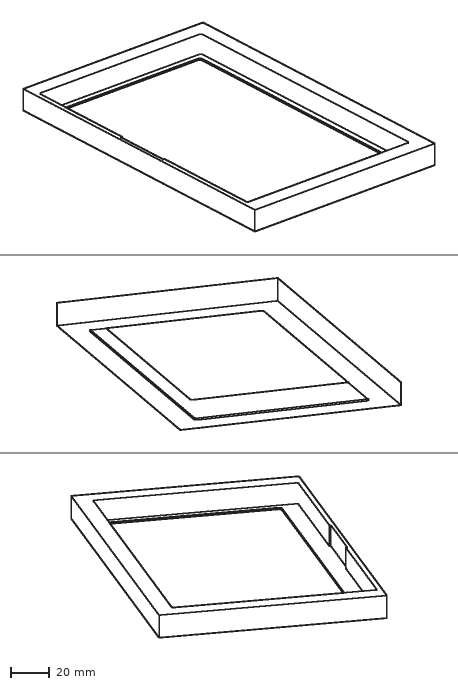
import cadquery as cq

LENGTH = 189.45
WIDTH = 123.63
HEIGHT = 12.7

SIDE_BORDER = 9.7
BACK_BORDER = 9.5
FRONT_BORDER = 2.95
FLOOR_THICKNESS = 1.0
RECESS_RADIUS = 1.0

SIDE_LEDGE = 3.45
BACK_LEDGE = 3.5
FRONT_LEDGE = 9.95
WINDOW_RADIUS = 1.75

RELIEF_LENGTH = 34.8
RELIEF_DEPTH = 0.8

RECESS_LENGTH = LENGTH - 2 * SIDE_BORDER
RECESS_FRONT = -WIDTH / 2 + FRONT_BORDER
RECESS_BACK = WIDTH / 2 - BACK_BORDER
WINDOW_LENGTH = RECESS_LENGTH - 2 * SIDE_LEDGE
WINDOW_FRONT = RECESS_FRONT + FRONT_LEDGE
WINDOW_BACK = RECESS_BACK - BACK_LEDGE


def block(length, front, back, bottom, top):
    """Box centred on X that spans front to back in Y and bottom to top in Z."""
    return (
        cq.Workplane("XY", origin=(0, (front + back) / 2, bottom))
        .rect(length, back - front)
        .extrude(top - bottom)
    )


def recess():
    pocket = block(RECESS_LENGTH, RECESS_FRONT, RECESS_BACK, FLOOR_THICKNESS, HEIGHT)
    return pocket.edges("|Z").fillet(RECESS_RADIUS)


def window():
    opening = block(WINDOW_LENGTH, WINDOW_FRONT, WINDOW_BACK, 0, HEIGHT)
    return opening.edges("|Z").fillet(WINDOW_RADIUS)


def front_relief():
    return block(RELIEF_LENGTH, RECESS_FRONT - RELIEF_DEPTH, WINDOW_FRONT, FLOOR_THICKNESS, HEIGHT)


frame = block(LENGTH, -WIDTH / 2, WIDTH / 2, 0, HEIGHT)
result = frame.cut(recess()).cut(window()).cut(front_relief())